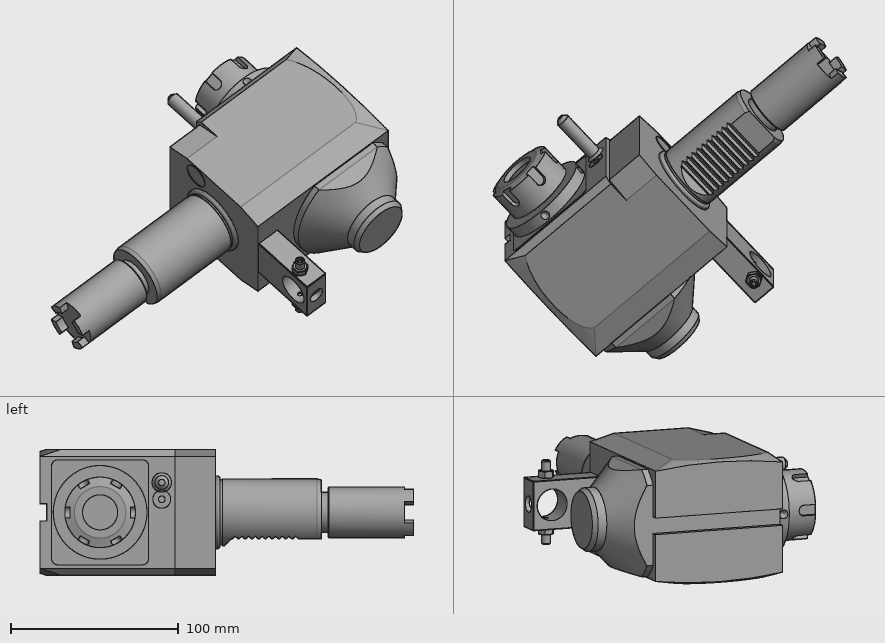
import cadquery as cq
import math


overlap = 2.2
cutter_size = 267.0

body_right = 39.2
body_back = 104.5
body_half_height = 75.0 / 2
side_slope = math.tan(math.radians(15))
flat_half_width = 23.8
rear_left = -42.3
front_left = -body_right
rear_start = 24.0
rear_chamfer_x = 4.5
back_bevel_length = 12.5
back_crown = 3.0
back_overhang = 1.6
back_slot_width = 10.0
back_slot_depth = 4.0
plug_x, plug_z, plug_radius, plug_recess = -16.0, 27.5, 7.8, 0.5

spindle_y = 68.8
plate_width, plate_height, plate_corner, plate_raise = 57.9, 62.5, 3.8, 0.2
collar_radius, collar_left = 55.9 / 2, -49.9
dimples, dimple_radius, dimple_x = 4, 2.7, -46.3
neck_radius = 16.7
nut_radius, nut_left, nut_right = 42.0 / 2, -71.5, -51.2
nut_face_radius, nut_face_depth = 15.4, 1.8
nut_bore_radius, nut_bore_depth = 10.5, 3.3
nut_slots, nut_slot_width, nut_slot_end, nut_slot_floor = 6, 6.5, -59.0, 18.0

cap_radius, cap_rim_end = 40.0, 43.2
cap_half_height = 32.5
cap_back = 100.5
hub_radius, hub_start, hub_end = 19.1, 63.9, 72.3
hub_chamfer_length, hub_chamfer_drop = 3.0, 2.0

pin_y, pin_z, pin_radius, pin_tip = 32.0, 17.8, 8.2 / 2, -74.0
pin_chamfer, pin_base_radius, pin_base_length = 2.2, 5.8, 1.8
screw_z, screw_radius, screw_recess, screw_hole_radius, screw_hole_depth = 7.8, 5.3, 0.2, 2.0, 3.3

flange_radius, flange_length, flange_fillet = 21.8, 2.7, 1.8
shank_radius, shank_end = 20.0, 63.0
shank_relief_radius, shank_relief_end = 19.5, 4.0
shank_chamfer_length, shank_chamfer_drop = 2.7, 0.7
drive_neck_radius = 24.0 / 2
drive_radius, drive_start, drive_shoulder, drive_end = 30.5 / 2, 67.0, 112.5, 118.0
drive_chamfer = 0.7
dogs, dog_inner_radius, dog_half_angle = 4, 10.7, 20.5
rack_flat, rack_start, rack_land = 15.8, 9.3, 0.7
rack_teeth, rack_pitch, rack_groove, rack_depth = 10, 4.0, 3.3, 1.5

arm_end, arm_front, arm_back, arm_half_height, arm_chamfer = 82.1, 0.7, 16.0, 30.0 / 2, 0.5
bore_x, bore_radius = 69.9, 9.5
set_screw_y, set_screw_radius, set_screw_tip, set_screw_chamfer = 6.0, 5.5 / 2, 25.4, 0.7
nut_across_corners, lock_nut_height, nut_bevel = 9.8, 4.2, 1.0
socket_across_corners, socket_depth = 3.1, 2.2
end_hole_radius = 5.0
tip_hole_radius, tip_hole_depth = 1.3, 1.3


def revolve_x(profile, y, z):
    """Turn a list of (x, radius) points about an X-parallel axis through (y, z)."""
    points = [(profile[0][0], 0), *profile, (profile[-1][0], 0)]
    turned = cq.Workplane("XY").polyline(points).close().revolve(360, (0, 0, 0), (1, 0, 0))
    return turned.translate((0, y, z))


def revolve_y(profile):
    """Turn a list of (radius, y) points about the Y axis."""
    points = [(0, profile[0][1]), *profile, (0, profile[-1][1])]
    return cq.Workplane("XY").polyline(points).close().revolve(360, (0, 0, 0), (0, 1, 0))


def prism_y(points, y_start, y_end):
    """Extrude an (x, z) outline that is mirrored in Z from y_start to y_end."""
    outline = points + [(x, -z) for x, z in reversed(points)]
    plane = cq.Workplane("XZ", origin=(0, y_start, 0))
    return plane.polyline(outline).close().extrude(y_start - y_end)


def cylinder_x(radius, x_start, length, y, z):
    return cq.Workplane("YZ", origin=(x_start, y, z)).circle(radius).extrude(length)


def crowned_wire(left, right, end_z, y, overhang):
    """Rectangle in a Y plane whose arced top and bottom pass through (left, end_z) and (right, end_z)."""
    centre_x = (left + right) / 2
    half_width = (right - left) / 2
    crown_z = end_z + back_crown
    arc_radius = (half_width**2 + back_crown**2) / (2 * back_crown)
    reach = half_width * overhang
    reach_z = crown_z - arc_radius + math.sqrt(arc_radius**2 - reach**2)
    return (
        cq.Workplane("XZ", origin=(0, y, 0))
        .moveTo(centre_x - reach, reach_z)
        .threePointArc((centre_x, crown_z), (centre_x + reach, reach_z))
        .lineTo(centre_x + reach, -reach_z)
        .threePointArc((centre_x, -crown_z), (centre_x - reach, -reach_z))
        .close()
        .val()
    )


def make_housing():
    slope_z = body_half_height - (body_right - flat_half_width) * side_slope
    right_edge = [(flat_half_width, body_half_height), (body_right, slope_z)]
    front = prism_y(
        [(front_left, slope_z), (-flat_half_width, body_half_height)] + right_edge, 0, rear_start
    )
    flat_left = rear_left + rear_chamfer_x
    rear_edge = [(rear_left, slope_z), (flat_left, body_half_height)]
    rear = prism_y(rear_edge + right_edge, rear_start, body_back)

    bevel_start = body_back - back_bevel_length
    envelope = cq.Workplane(
        cq.Solid.makeLoft(
            [
                crowned_wire(flat_left, flat_half_width, body_half_height, bevel_start, back_overhang),
                crowned_wire(rear_left, body_right, slope_z, body_back, back_overhang),
            ],
            True,
        )
    )
    beveled = rear.intersect(envelope)
    plain = rear.intersect(cq.Workplane("XY").box(cutter_size, 2 * bevel_start, cutter_size))
    rear = plain.union(beveled)

    slot = cq.Workplane("XY").box(cutter_size, 2 * back_slot_depth, back_slot_width)
    slot = slot.translate((0, body_back, 0))
    plug = cq.Workplane("XZ", origin=(plug_x, 0, plug_z)).circle(plug_radius).extrude(-plug_recess)
    return front.union(rear).cut(slot).cut(plug)


def make_spindle_nose():
    plate = (
        cq.Workplane("YZ", origin=(rear_left - plate_raise, spindle_y, 0))
        .rect(plate_width, plate_height)
        .extrude(plate_raise + overlap)
        .edges("|X")
        .fillet(plate_corner)
    )
    nose = revolve_x(
        [
            (nut_left, nut_face_radius),
            (nut_left + nut_face_depth, nut_radius),
            (nut_right, nut_radius),
            (nut_right, neck_radius),
            (collar_left, neck_radius),
            (collar_left, collar_radius),
            (rear_left + overlap, collar_radius),
        ],
        spindle_y,
        0,
    )
    nose = nose.cut(cylinder_x(nut_bore_radius, nut_left, nut_bore_depth, spindle_y, 0))

    slot_length = 2 * (nut_slot_end - nut_left)
    for index in range(nut_slots):
        slot = (
            cq.Workplane("XY", origin=(nut_left, 0, nut_slot_floor))
            .slot2D(slot_length, nut_slot_width)
            .extrude(nut_radius)
            .rotate((0, 0, 0), (1, 0, 0), 90 + index * 360 / nut_slots)
            .translate((0, spindle_y, 0))
        )
        nose = nose.cut(slot)

    for index in range(dimples):
        dimple = (
            cq.Workplane("XY")
            .add(cq.Solid.makeCone(0, 2 * dimple_radius, 2 * dimple_radius))
            .translate((dimple_x, 0, collar_radius - dimple_radius))
            .rotate((0, 0, 0), (1, 0, 0), index * 360 / dimples)
            .translate((0, spindle_y, 0))
        )
        nose = nose.cut(dimple)
    return plate.union(nose)


def make_cap():
    cap = revolve_x(
        [
            (body_right - overlap, cap_radius),
            (cap_rim_end, cap_radius),
            (hub_start, hub_radius),
            (hub_end - hub_chamfer_length, hub_radius),
            (hub_end, hub_radius - hub_chamfer_drop),
        ],
        spindle_y,
        0,
    )
    sloped_end_z = cap_half_height - (hub_end - cap_rim_end) * side_slope
    envelope = prism_y(
        [(0, cap_half_height), (cap_rim_end, cap_half_height), (hub_end, sloped_end_z)],
        0,
        cap_back,
    )
    return cap.intersect(envelope)


def make_pin():
    return revolve_x(
        [
            (pin_tip, pin_radius - pin_chamfer),
            (pin_tip + pin_chamfer, pin_radius),
            (rear_left - pin_base_length, pin_radius),
            (rear_left, pin_base_radius),
            (rear_left + overlap, pin_base_radius),
        ],
        pin_y,
        pin_z,
    )


def make_screw_recess():
    recess = cylinder_x(screw_radius, rear_left, screw_recess, pin_y, screw_z)
    return recess.union(cylinder_x(screw_hole_radius, rear_left, screw_hole_depth, pin_y, screw_z))


def make_rack_cut():
    """Flat on the underside of the shank, with a 45 degree run-in and V grooves."""
    depth = shank_radius - rack_flat + overlap
    outline = [
        (-shank_end, -rack_flat),
        (-shank_end, -rack_flat - depth),
        (-rack_start + depth, -rack_flat - depth),
        (-rack_start, -rack_flat),
    ]
    for index in range(rack_teeth):
        groove_start = -rack_start - rack_land - index * rack_pitch
        outline.append((groove_start, -rack_flat))
        outline.append((groove_start - rack_groove / 2, -rack_flat + rack_depth))
        outline.append((groove_start - rack_groove, -rack_flat))
    return cq.Workplane("YZ").polyline(outline).close().extrude(shank_radius, both=True)


def make_shank():
    shank = revolve_y(
        [
            (flange_radius, overlap),
            (flange_radius, -flange_length),
            (shank_relief_radius, -flange_length),
            (shank_relief_radius, -shank_relief_end),
            (shank_radius, -shank_relief_end),
            (shank_radius, -shank_end + shank_chamfer_length),
            (shank_radius - shank_chamfer_drop, -shank_end),
            (drive_neck_radius, -shank_end),
            (drive_neck_radius, -drive_start),
            (drive_radius - drive_chamfer, -drive_start),
            (drive_radius, -drive_start - drive_chamfer),
            (drive_radius, -drive_end),
        ]
    )
    flange_face = cq.selectors.BoxSelector(
        (-flange_fillet, -flange_length - flange_fillet / 2, -flange_fillet),
        (flange_fillet, -flange_length + flange_fillet / 2, flange_fillet),
    )
    flange_rim = shank.edges(flange_face).edges(cq.selectors.RadiusNthSelector(-1))
    shank = flange_rim.fillet(flange_fillet)

    shank = shank.cut(make_rack_cut())
    dog_length = drive_end - drive_shoulder
    end_plane = cq.Workplane("XZ", origin=(0, -drive_shoulder, 0))
    shank = shank.cut(end_plane.circle(dog_inner_radius).extrude(dog_length))
    for index in range(dogs):
        gap = end_plane.polyline(dog_gap_outline(index * 360 / dogs)).close().extrude(dog_length)
        shank = shank.cut(gap)
    return shank


def dog_gap_outline(angle):
    """Wedge between two driving dogs, centred on the given angle and reaching past the rim."""
    half_gap = 180 / dogs - dog_half_angle
    reach = 2 * drive_radius
    first = math.radians(angle - half_gap)
    second = math.radians(angle + half_gap)
    return [
        (0, 0),
        (reach * math.cos(first), reach * math.sin(first)),
        (reach * math.cos(second), reach * math.sin(second)),
    ]


def make_arm():
    arm_start = body_right - overlap
    arm = (
        cq.Workplane("XY")
        .box(
            arm_end - arm_start,
            arm_back - arm_front,
            2 * arm_half_height,
            centered=(False, False, True),
        )
        .translate((arm_start, arm_front, 0))
        .edges("|X or >X")
        .chamfer(arm_chamfer)
    )
    bore = cq.Workplane("XZ", origin=(bore_x, 0, 0)).circle(bore_radius).extrude(-2 * arm_back)
    end_hole = cylinder_x(end_hole_radius, bore_x, arm_end, (arm_front + arm_back) / 2, 0)
    arm = arm.cut(bore).cut(end_hole)

    screw = (
        cq.Workplane("XY", origin=(bore_x, set_screw_y, bore_radius + overlap))
        .circle(set_screw_radius)
        .extrude(set_screw_tip - bore_radius - overlap)
        .faces(">Z")
        .chamfer(set_screw_chamfer)
        .faces(">Z")
        .workplane()
        .polygon(6, socket_across_corners)
        .cutBlind(-socket_depth)
    )
    lock_nut = (
        cq.Workplane("XY", origin=(bore_x, set_screw_y, arm_half_height))
        .polygon(6, nut_across_corners)
        .extrude(lock_nut_height)
    )
    rounding = (
        cq.Workplane("XY", origin=(bore_x, set_screw_y, arm_half_height))
        .circle(nut_across_corners / 2)
        .extrude(lock_nut_height)
        .edges()
        .chamfer(nut_bevel / 2, nut_bevel)
    )
    tip_hole = (
        cq.Workplane("XY", origin=(bore_x, set_screw_y, 0))
        .circle(tip_hole_radius)
        .extrude(bore_radius + tip_hole_depth, both=True)
    )
    top_screw = lock_nut.intersect(rounding).union(screw)
    return arm.union(top_screw).union(top_screw.mirror("XY")).cut(tip_hole)


result = (
    make_housing()
    .union(make_spindle_nose())
    .union(make_cap())
    .union(make_pin())
    .union(make_shank())
    .union(make_arm())
    .cut(make_screw_recess())
)